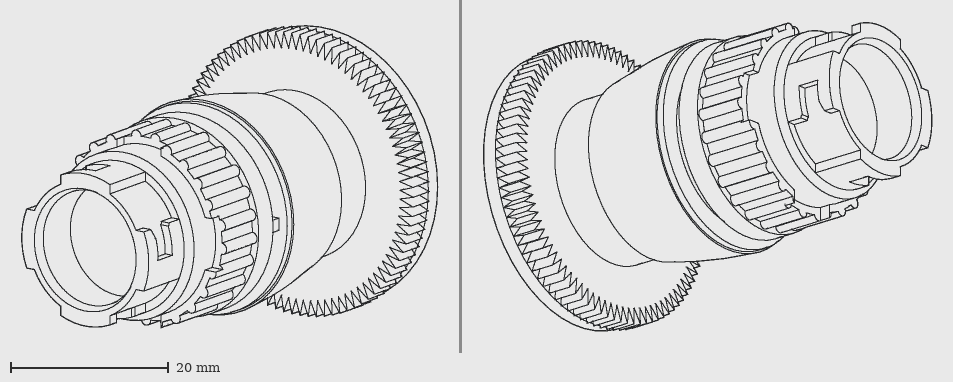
import cadquery as cq
import math


LENGTH = 54.0
BAYONET_END = 7.55
BODY_CHAMFER_END = 8.35
NUT_START = 11.45
NOTCH_FLOOR = 12.95
RIBS_END = 19.45
NUT_END = 22.5
BARREL_START = 24.5
BARREL_SHOULDER = 25.55
BARREL_END = 38.5
GEAR_START = 45.0
GEAR_END = 48.45
HEAD_START = 48.85
HEAD_RIM_END = 50.85

BODY_DIA = 22.0
COLLAR_DIA = 22.3
NUT_DIA = 26.0
BARREL_BAND_DIA = 27.5
BARREL_LARGE_DIA = 28.0
BARREL_MID_DIA = 26.6
BARREL_SMALL_DIA = 24.0
HEAD_DIA = 36.0
HEAD_TOP_DIA = 22.85
HEAD_NECK_DIA = 30.0

GEAR_TEETH = 90
GEAR_TIP_DIA = 37.0
GEAR_ROOT_DIA = 32.85

RIB_COUNT = 25
RIB_RADIUS = 0.75
RIB_BASE_DIA = 24.0
NOTCH_WIDTH = 6.9

KEY_REACH = 12.4
KEY_WIDTH = 1.6

BAYONET_DIA = 20.05
BAYONET_CORE_DIA = 17.8
RIDGE_WIDTH = 7.8
RIDGE_COUNT = 4
SLOT_START = 2.0
SLOT_END = 5.0
SLOT_PAST_MIDDLE = 0.15
SLOT_LEAD_IN = 1.3
SLOT_LEAD_IN_DROP = 0.55
SLOT_CORNER = 0.3

BORE_DIA = 15.05
BORE_MOUTH_DIA = 16.05
BORE_DEPTH = 7.0
BORE_CHAMFER = 1.25


def plane_at(y):
    """Plane facing +Y whose local axes are Z and X."""
    return cq.Plane(origin=(0, y, 0), xDir=(0, 0, 1), normal=(0, 1, 0))


def cylinder(diameter, start, end):
    return cq.Workplane(plane_at(start)).circle(diameter / 2).extrude(end - start)


def crossed_bars(width, start, end):
    """Two bars crossing on the axis, one along X and one along Z."""
    bars = cq.Workplane(plane_at(start)).rect(width, GEAR_TIP_DIA).rect(GEAR_TIP_DIA, width)
    return bars.extrude(end - start)


def turned_body():
    """Solid of revolution without the bayonet end, the serrated ring and the nut ribs."""
    barrel_middle = (BARREL_SHOULDER + BARREL_END) / 2
    profile = (
        cq.Workplane("XY")
        .moveTo(0, BAYONET_END)
        .lineTo(BAYONET_DIA / 2, BAYONET_END)
        .lineTo(BODY_DIA / 2, BODY_CHAMFER_END)
        .lineTo(BODY_DIA / 2, RIBS_END)
        .lineTo(NUT_DIA / 2, RIBS_END)
        .lineTo(NUT_DIA / 2, NUT_END)
        .lineTo(COLLAR_DIA / 2, NUT_END)
        .lineTo(COLLAR_DIA / 2, BARREL_START)
        .lineTo(BARREL_BAND_DIA / 2, BARREL_START)
        .lineTo(BARREL_BAND_DIA / 2, BARREL_SHOULDER)
        .lineTo(BARREL_LARGE_DIA / 2, BARREL_SHOULDER)
        .threePointArc((BARREL_MID_DIA / 2, barrel_middle), (BARREL_SMALL_DIA / 2, BARREL_END))
        .lineTo(BODY_DIA / 2, BARREL_END)
        .lineTo(BODY_DIA / 2, GEAR_END)
        .lineTo(HEAD_NECK_DIA / 2, GEAR_END)
        .lineTo(HEAD_NECK_DIA / 2, HEAD_START)
        .lineTo(HEAD_DIA / 2, HEAD_START)
        .lineTo(HEAD_DIA / 2, HEAD_RIM_END)
        .lineTo(HEAD_TOP_DIA / 2, LENGTH)
        .lineTo(0, LENGTH)
        .close()
    )
    return profile.revolve(360, (0, 0, 0), (0, 1, 0))


def serrated_ring():
    """Ring of sharp V-shaped teeth, with a tip pointing along +X."""
    points = []
    for step in range(2 * GEAR_TEETH):
        radius = (GEAR_TIP_DIA if step % 2 == 0 else GEAR_ROOT_DIA) / 2
        angle = math.pi * step / GEAR_TEETH
        points.append((radius * math.sin(angle), radius * math.cos(angle)))
    return cq.Workplane(plane_at(GEAR_START)).polyline(points).close().extrude(GEAR_END - GEAR_START)


def ribbed_nut():
    """Grip sleeve with round ribs, the lowest one at -Z, and four notches in its free end."""
    sleeve = cylinder(RIB_BASE_DIA, NUT_START, RIBS_END)
    ribs = (
        cq.Workplane(plane_at(NUT_START))
        .polarArray(RIB_BASE_DIA / 2, 180, 360, RIB_COUNT)
        .circle(RIB_RADIUS)
        .extrude(RIBS_END - NUT_START)
    )
    notches = crossed_bars(NOTCH_WIDTH, NUT_START, NOTCH_FLOOR)
    return sleeve.union(ribs).cut(notches)


def locating_key():
    """Key on the +X side of the collar between the nut and the barrel."""
    key = cq.Workplane(plane_at(NUT_END)).center(0, KEY_REACH / 2).rect(KEY_WIDTH, KEY_REACH)
    return key.extrude(BARREL_START - NUT_END)


def bayonet_slot():
    """Slot cutter above the +Z ridge: open on its -X flank, with a slanted lead-in."""
    flank = -RIDGE_WIDTH / 2
    slot = (
        cq.Workplane("XY")
        .moveTo(flank, SLOT_START - SLOT_LEAD_IN_DROP)
        .lineTo(flank + SLOT_LEAD_IN, SLOT_START)
        .lineTo(SLOT_PAST_MIDDLE, SLOT_START)
        .lineTo(SLOT_PAST_MIDDLE, SLOT_END)
        .lineTo(flank + SLOT_CORNER, SLOT_END)
        .radiusArc((flank, SLOT_END + SLOT_CORNER), -SLOT_CORNER)
        .close()
    )
    return slot.extrude(BAYONET_DIA)


def bayonet():
    """Round core carrying four slotted ridges."""
    ridges = cylinder(BAYONET_DIA, 0, BAYONET_END).intersect(crossed_bars(RIDGE_WIDTH, 0, BAYONET_END))
    for index in range(RIDGE_COUNT):
        angle = index * 360 / RIDGE_COUNT
        ridges = ridges.cut(bayonet_slot().rotate((0, 0, 0), (0, 1, 0), angle))
    return ridges.union(cylinder(BAYONET_CORE_DIA, 0, BAYONET_END))


def bore():
    """Blind bore with a chamfered mouth."""
    profile = (
        cq.Workplane("XY")
        .lineTo(BORE_MOUTH_DIA / 2, 0)
        .lineTo(BORE_DIA / 2, BORE_CHAMFER)
        .lineTo(BORE_DIA / 2, BORE_DEPTH)
        .lineTo(0, BORE_DEPTH)
        .close()
    )
    return profile.revolve(360, (0, 0, 0), (0, 1, 0))


result = (
    turned_body()
    .union(serrated_ring())
    .union(ribbed_nut())
    .union(locating_key())
    .union(bayonet())
    .cut(bore())
)